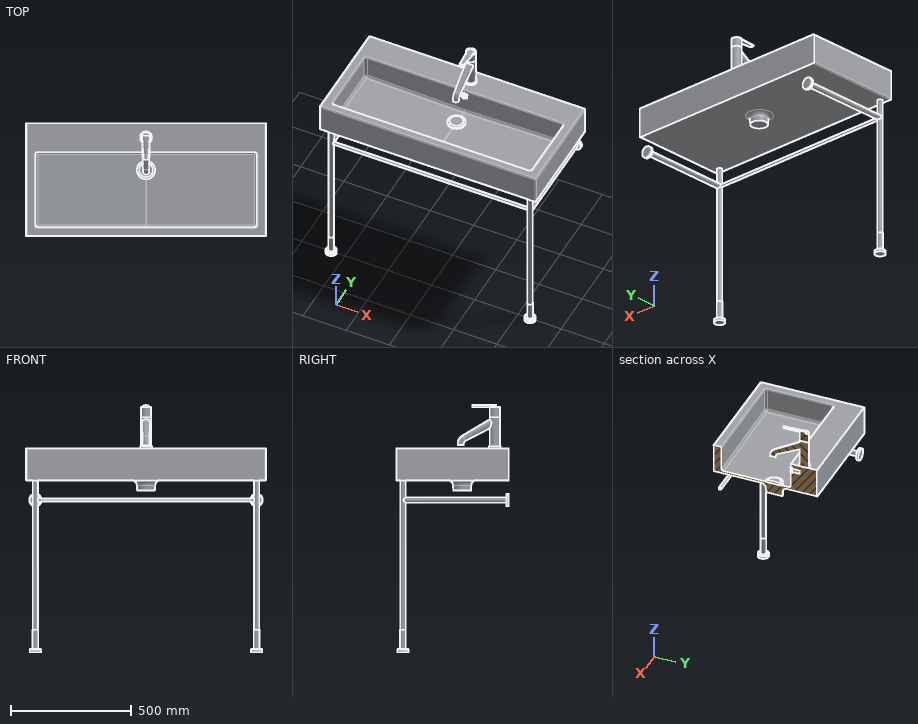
import cadquery as cq
import math


BASIN_WIDTH = 1000.0
BASIN_DEPTH = 470.0
BASIN_HEIGHT = 135.0
RIM_Z = 850.0
BASIN_BOTTOM_Z = RIM_Z - BASIN_HEIGHT
BASIN_EDGE_RADIUS = 5.0

SIDE_RIM = 39.5
FRONT_RIM = 37.0
BACK_RIM = 120.0
BOWL_DEPTH_CENTRE = 120.0
BOWL_DEPTH_SIDE = 110.0
CREASE_WIDTH = 2.5
BOWL_CORNER_RADIUS = 10.5
BOWL_FLOOR_RADIUS = 10.0
BOWL_RIM_RADIUS = 4.0
BOWL_HALF_WIDTH = BASIN_WIDTH / 2 - SIDE_RIM
BOWL_FRONT_Y = -BASIN_DEPTH + FRONT_RIM
BOWL_BACK_Y = -BACK_RIM
BOWL_FLOOR_Z = RIM_Z - BOWL_DEPTH_CENTRE
ZONE_MARGIN = 1.0

DRAIN_Y = -195.0
TAIL_RADIUS = 39.0
TAIL_LENGTH = 42.0
TAIL_TAPER = 2.0
TAIL_FLARE_RADIUS = 19.0

PLUG_RADIUS = 38.0
PLUG_SEAT_DEPTH = 2.0
PLUG_RIM_HEIGHT = 4.0
PLUG_BEVEL_WIDTH = 9.0
PLUG_BEVEL_HEIGHT = 4.5
PLUG_DOME_RISE = 1.5

OVERFLOW_Z = RIM_Z - 33.0
OVERFLOW_RADIUS = 14.0
OVERFLOW_BORE_RADIUS = 7.0
OVERFLOW_SEAT_DEPTH = 5.0
OVERFLOW_PROUD = 2.0
OVERFLOW_HOLE_DEPTH = 40.0

FAUCET_Y = -59.0
FAUCET_RADIUS = 21.75
FAUCET_BASE_RADIUS = 25.0
FAUCET_BASE_HEIGHT = 8.0
FAUCET_BODY_TOP_Z = RIM_Z + 129.0

SPOUT_ANGLE = 29.0
SPOUT_ROOT_RADIUS = 17.5
SPOUT_TIP_RADIUS = 13.0
SPOUT_MOUTH_Z = RIM_Z + 12.0
SPOUT_MOUTH_Y = -201.0
SPOUT_MOUTH_LENGTH = 5.0
SPOUT_BEND_RADIUS = 28.0

CAP_TOP_Z = RIM_Z + 171.0
CAP_CHAMFER = 1.0
LEVER_TOP_Z = RIM_Z + 179.34
LEVER_SINK = 1.5
LEVER_BOTTOM_Z = CAP_TOP_Z - LEVER_SINK
LEVER_BACK_Y = FAUCET_Y + 7.0
LEVER_TIP_Y = -153.0
LEVER_BACK_WIDTH = 36.0
LEVER_TIP_WIDTH = 16.0

LEG_X = 460.0
LEG_Y = -441.0
LEG_RADIUS = 11.75
LEG_BOTTOM_Z = 95.0
RAIL_Z = BASIN_BOTTOM_Z - 81.0
CROSSBAR_RADIUS = 6.5
FLANGE_RADIUS = 26.0
FLANGE_THICKNESS = 11.5
FLANGE_CHAMFER = 2.0

FOOT_ROD_RADIUS = 12.5
FOOT_RADIUS = 24.0
FOOT_HEIGHT = 16.0
FOOT_CHAMFER = 4.0


def cylinder(radius, start, end):
    """Solid cylinder running from one point to another."""
    axis = cq.Vector(*end) - cq.Vector(*start)
    return cq.Workplane(obj=cq.Solid.makeCylinder(radius, axis.Length, cq.Vector(*start), axis))


def zone(half_width, front_y, back_y, bottom_z, top_z):
    """Selects the edges centred in a box about the middle plane, with a small margin above and below."""
    return cq.selectors.BoxSelector(
        (-half_width, front_y, bottom_z - ZONE_MARGIN), (half_width, back_y, top_z + ZONE_MARGIN)
    )


def bowl_cutter():
    """Bowl volume, whose floor falls from both sides to a narrow flat crease on the middle."""
    side_z = RIM_Z - BOWL_DEPTH_SIDE
    volume = (
        cq.Workplane("XZ", origin=(0, BOWL_BACK_Y, 0))
        .moveTo(-BOWL_HALF_WIDTH, RIM_Z)
        .lineTo(-BOWL_HALF_WIDTH, side_z)
        .lineTo(-CREASE_WIDTH / 2, BOWL_FLOOR_Z)
        .lineTo(CREASE_WIDTH / 2, BOWL_FLOOR_Z)
        .lineTo(BOWL_HALF_WIDTH, side_z)
        .lineTo(BOWL_HALF_WIDTH, RIM_Z)
        .close()
        .extrude(BOWL_BACK_Y - BOWL_FRONT_Y)
    )
    volume = volume.edges("|Z").fillet(BOWL_CORNER_RADIUS)
    floor_edges = zone(BASIN_WIDTH, -BASIN_DEPTH, 0, BOWL_FLOOR_Z, side_z)
    crease_edges = zone(
        CREASE_WIDTH, BOWL_FRONT_Y + ZONE_MARGIN, BOWL_BACK_Y - ZONE_MARGIN, BOWL_FLOOR_Z, BOWL_FLOOR_Z
    )
    return volume.edges(floor_edges - crease_edges).fillet(BOWL_FLOOR_RADIUS)


def drain_tail():
    """Round tail under the basin, joined to it by a concave flare."""
    end_radius = TAIL_RADIUS - TAIL_TAPER
    flare_z = BASIN_BOTTOM_Z - TAIL_FLARE_RADIUS
    flare_edge = TAIL_RADIUS + TAIL_FLARE_RADIUS
    middle = TAIL_FLARE_RADIUS * math.sqrt(0.5)
    return (
        cq.Workplane("XZ", origin=(0, DRAIN_Y, 0))
        .moveTo(0, BASIN_BOTTOM_Z)
        .lineTo(flare_edge, BASIN_BOTTOM_Z)
        .threePointArc((flare_edge - middle, flare_z + middle), (TAIL_RADIUS, flare_z))
        .lineTo(end_radius, BASIN_BOTTOM_Z - TAIL_LENGTH)
        .lineTo(0, BASIN_BOTTOM_Z - TAIL_LENGTH)
        .close()
        .revolve(360, (0, 0), (0, 1))
    )


def make_basin():
    """Block with a square back, a bowl, a drain tail, and seats for the plug and the overflow ring."""
    block = cq.Workplane("XY", origin=(0, -BASIN_DEPTH / 2, BASIN_BOTTOM_Z)).box(
        BASIN_WIDTH, BASIN_DEPTH, BASIN_HEIGHT, centered=(True, True, False)
    )
    block = block.edges("not >Y").fillet(BASIN_EDGE_RADIUS)
    basin = block.cut(bowl_cutter())
    bowl_rim_edges = zone(
        BOWL_HALF_WIDTH + ZONE_MARGIN, BOWL_FRONT_Y - ZONE_MARGIN, BOWL_BACK_Y + ZONE_MARGIN, RIM_Z, RIM_Z
    )
    basin = basin.edges(bowl_rim_edges).fillet(BOWL_RIM_RADIUS)
    basin = basin.union(drain_tail())
    plug_seat = cylinder(
        PLUG_RADIUS, (0, DRAIN_Y, BOWL_FLOOR_Z - PLUG_SEAT_DEPTH), (0, DRAIN_Y, RIM_Z)
    )
    ring_seat = cylinder(
        OVERFLOW_RADIUS,
        (0, BOWL_BACK_Y - OVERFLOW_PROUD, OVERFLOW_Z),
        (0, BOWL_BACK_Y + OVERFLOW_SEAT_DEPTH, OVERFLOW_Z),
    )
    overflow_hole = cylinder(
        OVERFLOW_BORE_RADIUS,
        (0, BOWL_BACK_Y, OVERFLOW_Z),
        (0, BOWL_BACK_Y + OVERFLOW_HOLE_DEPTH, OVERFLOW_Z),
    )
    return basin.cut(plug_seat).cut(ring_seat).cut(overflow_hole)


def make_plug():
    """Round plug with a bevelled edge and a slightly domed top."""
    bottom_z = BOWL_FLOOR_Z - PLUG_SEAT_DEPTH
    shoulder_z = BOWL_FLOOR_Z + PLUG_RIM_HEIGHT
    dome_radius = PLUG_RADIUS - PLUG_BEVEL_WIDTH
    dome_edge_z = shoulder_z + PLUG_BEVEL_HEIGHT
    sphere_radius = (dome_radius**2 + PLUG_DOME_RISE**2) / (2 * PLUG_DOME_RISE)
    return (
        cq.Workplane("XZ", origin=(0, DRAIN_Y, 0))
        .moveTo(0, bottom_z)
        .lineTo(PLUG_RADIUS, bottom_z)
        .lineTo(PLUG_RADIUS, shoulder_z)
        .lineTo(dome_radius, dome_edge_z)
        .radiusArc((0, dome_edge_z + PLUG_DOME_RISE), -sphere_radius)
        .close()
        .revolve(360, (0, 0), (0, 1))
    )


def make_overflow_ring():
    """Ring set into the back wall of the bowl, standing slightly proud of it."""
    start = (0, BOWL_BACK_Y - OVERFLOW_PROUD, OVERFLOW_Z)
    end = (0, BOWL_BACK_Y + OVERFLOW_SEAT_DEPTH, OVERFLOW_Z)
    return cylinder(OVERFLOW_RADIUS, start, end).cut(cylinder(OVERFLOW_BORE_RADIUS, start, end))


def make_spout():
    """Tapered tube sloping forward, then bending straight down to the mouth."""
    angle = math.radians(SPOUT_ANGLE)
    forward = math.cos(angle)
    down = math.sin(angle)
    bend_end_z = SPOUT_MOUTH_Z + SPOUT_MOUTH_LENGTH
    bend_centre_y = SPOUT_MOUTH_Y + SPOUT_BEND_RADIUS
    bend_start_y = bend_centre_y - SPOUT_BEND_RADIUS * down
    bend_start_z = bend_end_z + SPOUT_BEND_RADIUS * forward
    length = (FAUCET_Y - bend_start_y) / forward
    root_z = bend_start_z + length * down
    tube = cq.Workplane(
        obj=cq.Solid.makeCone(
            SPOUT_ROOT_RADIUS,
            SPOUT_TIP_RADIUS,
            length,
            cq.Vector(0, FAUCET_Y, root_z),
            cq.Vector(0, -forward, -down),
        )
    )
    bend = (
        cq.Workplane("XY", origin=(0, SPOUT_MOUTH_Y, bend_end_z))
        .circle(SPOUT_TIP_RADIUS)
        .revolve(90 - SPOUT_ANGLE, (1, SPOUT_BEND_RADIUS), (-1, SPOUT_BEND_RADIUS))
    )
    mouth = cylinder(
        SPOUT_TIP_RADIUS, (0, SPOUT_MOUTH_Y, SPOUT_MOUTH_Z), (0, SPOUT_MOUTH_Y, bend_end_z)
    )
    return tube.union(bend).union(mouth)


def make_faucet():
    """Column on a short round base, with the spout."""
    base = cylinder(
        FAUCET_BASE_RADIUS, (0, FAUCET_Y, RIM_Z), (0, FAUCET_Y, RIM_Z + FAUCET_BASE_HEIGHT)
    )
    column = cylinder(FAUCET_RADIUS, (0, FAUCET_Y, RIM_Z), (0, FAUCET_Y, FAUCET_BODY_TOP_Z))
    return base.union(column).union(make_spout())


def lever_section(y, width):
    """Arched lever section across X: a flat underside below a circular arc."""
    return (
        cq.Workplane("XZ", origin=(0, y, 0))
        .moveTo(-width / 2, LEVER_BOTTOM_Z)
        .threePointArc((0, LEVER_TOP_Z), (width / 2, LEVER_BOTTOM_Z))
        .close()
        .wires()
        .val()
    )


def make_handle():
    """Round cap with a flat, tapering lever on top."""
    cap = cylinder(FAUCET_RADIUS, (0, FAUCET_Y, FAUCET_BODY_TOP_Z), (0, FAUCET_Y, CAP_TOP_Z))
    cap = cap.faces(">Z").chamfer(CAP_CHAMFER)
    sections = [
        lever_section(LEVER_BACK_Y, LEVER_BACK_WIDTH),
        lever_section(LEVER_TIP_Y, LEVER_TIP_WIDTH),
    ]
    lever = cq.Workplane(obj=cq.Solid.makeLoft(sections, True))
    return cap.union(lever)


def make_stand():
    """Two legs, each with a rail and flange to the wall, joined by a crossbar."""
    stand = cylinder(CROSSBAR_RADIUS, (-LEG_X, LEG_Y, RAIL_Z), (LEG_X, LEG_Y, RAIL_Z))
    for x in (-LEG_X, LEG_X):
        leg = cylinder(LEG_RADIUS, (x, LEG_Y, LEG_BOTTOM_Z), (x, LEG_Y, BASIN_BOTTOM_Z))
        rail = cylinder(LEG_RADIUS, (x, LEG_Y, RAIL_Z), (x, 0, RAIL_Z))
        flange = cylinder(FLANGE_RADIUS, (x, 0, RAIL_Z), (x, -FLANGE_THICKNESS, RAIL_Z))
        flange = flange.faces("<Y").chamfer(FLANGE_CHAMFER)
        stand = stand.union(leg).union(rail).union(flange)
    return stand


def make_foot(x):
    """Adjustable foot: a rod that meets the leg end, on a chamfered round plate."""
    plate = cylinder(FOOT_RADIUS, (x, LEG_Y, 0), (x, LEG_Y, FOOT_HEIGHT))
    plate = plate.faces(">Z").chamfer(FOOT_CHAMFER)
    return plate.union(cylinder(FOOT_ROD_RADIUS, (x, LEG_Y, 0), (x, LEG_Y, LEG_BOTTOM_Z)))


basin = make_basin()
plug = make_plug()
overflow_ring = make_overflow_ring()
faucet = make_faucet()
handle = make_handle()
stand = make_stand()
feet = [make_foot(x) for x in (-LEG_X, LEG_X)]

result = cq.Compound.makeCompound(
    [
        basin.val(),
        plug.val(),
        overflow_ring.val(),
        faucet.val(),
        handle.val(),
        stand.val(),
        *[foot.val() for foot in feet],
    ]
)